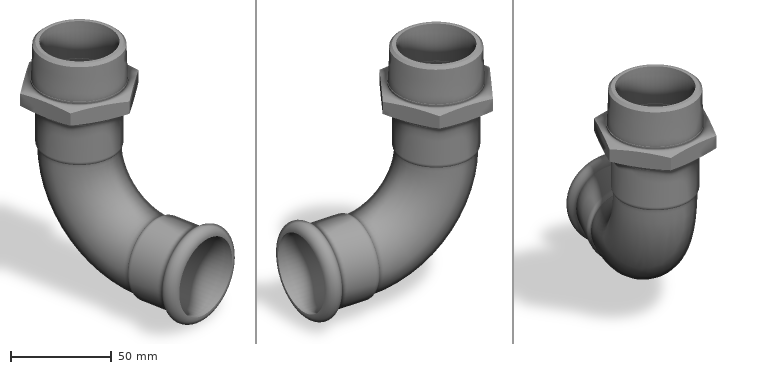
import cadquery as cq

tube_diameter = 42.0
bore_diameter = 39.0
bend_radius = 48.0
shoulder_end_diameter = 42.4

socket_start = 47.3
socket_end = 80.0
socket_diameter = 45.3
socket_bore = 42.7
socket_shoulder_length = 2.8
bead_diameter = 52.8
bead_width = 9.1

collar_start = 48.0
collar_diameter = 44.0
collar_shoulder_length = 2.0
joint_height = 71.2
joint_width = 0.4
joint_depth = 0.3

across_flats = 55.0
hex_bottom = 73.9
hex_lower_rim = 74.5
hex_lower_rim_radius = 22.5
hex_corner_bottom = 76.5
hex_corner_top = 83.6
hex_top = 85.0
hex_top_radius = 25.3
hex_corner_diameter = across_flats * 2 / 3**0.5

total_height = 133.4
top_height = total_height - bead_diameter / 2
neck_diameter = 48.8
neck_top = 86.1
taper_base_diameter = 48.3
taper_top_diameter = 47.0
rim_diameter = 44.0
rim_chamfer_height = 1.3
entry_bore = 40.0
entry_bore_bottom = 85.6


def bend(diameter):
    """Quarter torus from the inlet axis to the outlet axis."""
    return (
        cq.Workplane("XY", origin=(0, 0, bend_radius))
        .circle(diameter / 2)
        .revolve(90, (bend_radius, 0), (bend_radius, -1))
    )


def upright_cylinder(diameter, bottom, top):
    return cq.Workplane("XY", origin=(0, 0, bottom)).circle(diameter / 2).extrude(top - bottom)


def outlet_cylinder(diameter, start, end):
    return cq.Workplane("YZ", origin=(start, 0, 0)).circle(diameter / 2).extrude(end - start)


def socket():
    """Turned socket with a rounded shoulder and a half-round end bead."""
    bead_start = socket_end - bead_width
    bead_center_radius = (bead_diameter - bead_width) / 2
    return (
        cq.Workplane("XZ")
        .moveTo(socket_end, 0)
        .lineTo(socket_end, bead_center_radius)
        .threePointArc(
            (socket_end - bead_width / 2, bead_diameter / 2),
            (bead_start, bead_center_radius),
        )
        .lineTo(bead_start, 0)
        .close()
        .revolve(360, (0, 0), (1, 0))
        .union(
            cq.Workplane("XZ")
            .moveTo(bead_start + bead_width / 2, 0)
            .lineTo(bead_start + bead_width / 2, socket_diameter / 2)
            .lineTo(socket_start + socket_shoulder_length, socket_diameter / 2)
            .tangentArcPoint((socket_start, shoulder_end_diameter / 2), relative=False)
            .lineTo(socket_start, 0)
            .close()
            .revolve(360, (0, 0), (1, 0))
        )
    )


def collar():
    """Collar with a rounded lower shoulder and a fine joint groove."""
    radius = collar_diameter / 2
    groove_radius = radius - joint_depth
    return (
        cq.Workplane("XZ")
        .moveTo(0, hex_lower_rim)
        .lineTo(radius, hex_lower_rim)
        .lineTo(radius, joint_height + joint_width)
        .lineTo(groove_radius, joint_height + joint_width)
        .lineTo(groove_radius, joint_height)
        .lineTo(radius, joint_height)
        .lineTo(radius, collar_start + collar_shoulder_length)
        .tangentArcPoint((shoulder_end_diameter / 2, collar_start), relative=False)
        .lineTo(0, collar_start)
        .close()
        .revolve(360, (0, 0), (0, 1))
    )


def hexagon():
    """Hexagonal prism trimmed by a cone above and below, corners on X."""
    corner_radius = hex_corner_diameter / 2
    prism = (
        cq.Workplane("XY", origin=(0, 0, hex_bottom))
        .polygon(6, hex_corner_diameter)
        .extrude(hex_top - hex_bottom)
    )
    envelope = (
        cq.Workplane("XZ")
        .polyline([
            (0, hex_bottom),
            (collar_diameter / 2, hex_bottom),
            (hex_lower_rim_radius, hex_lower_rim),
            (corner_radius, hex_corner_bottom),
            (corner_radius, hex_corner_top),
            (hex_top_radius, hex_top),
            (0, hex_top),
        ])
        .close()
        .revolve(360, (0, 0), (0, 1))
    )
    return prism.intersect(envelope)


def tapered_end():
    """Neck above the hexagon, tapered wall and chamfered rim."""
    return (
        cq.Workplane("XZ")
        .polyline([
            (0, hex_top),
            (neck_diameter / 2, hex_top),
            (neck_diameter / 2, neck_top),
            (taper_base_diameter / 2, neck_top),
            (taper_top_diameter / 2, top_height - rim_chamfer_height),
            (rim_diameter / 2, top_height),
            (0, top_height),
        ])
        .close()
        .revolve(360, (0, 0), (0, 1))
    )


body = bend(tube_diameter).union(socket()).union(collar()).union(hexagon()).union(tapered_end())

socket_bore_start = socket_start + socket_shoulder_length
passage = (
    bend(bore_diameter)
    .union(upright_cylinder(bore_diameter, bend_radius, top_height))
    .union(upright_cylinder(entry_bore, entry_bore_bottom, top_height))
    .union(outlet_cylinder(bore_diameter, bend_radius, socket_end))
    .union(outlet_cylinder(socket_bore, socket_bore_start, socket_end))
)

result = body.cut(passage)